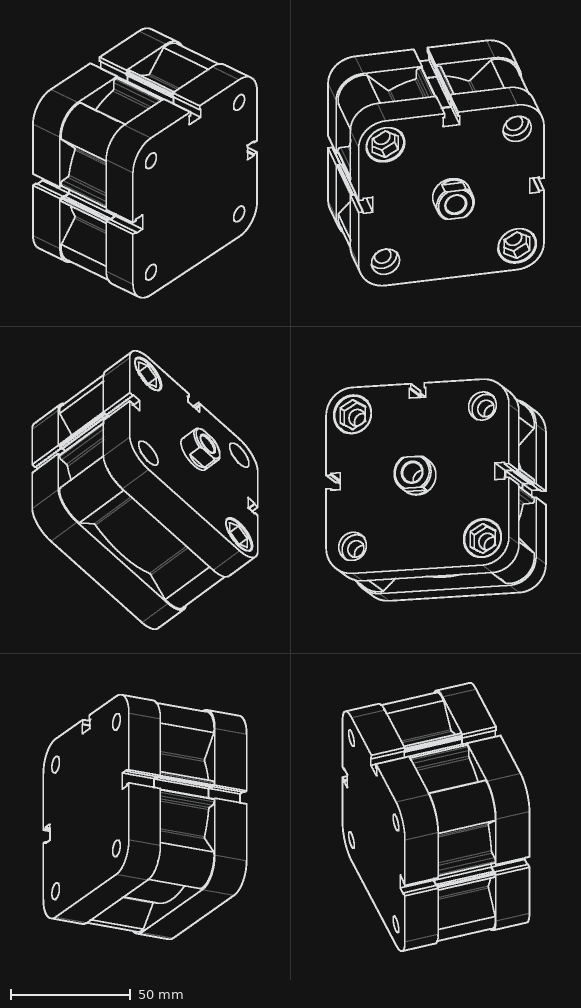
import cadquery as cq
import math


CAP_SIZE = 79.5
CAP_CORNER_RADIUS = 11.5
FRONT_CAP_LENGTH = 14.9
REAR_CAP_LENGTH = 14.7
BARREL_LENGTH = 25.45
BARREL_START = FRONT_CAP_LENGTH
REAR_CAP_START = BARREL_START + BARREL_LENGTH

HOLE_OFFSET = CAP_SIZE / 2 - CAP_CORNER_RADIUS
HOLE_DIAMETER = 7.0
COUNTERBORE_DIAMETER = 12.0
COUNTERBORE_DEPTH = 5.0
CORNERS = [(y, z) for y in (-HOLE_OFFSET, HOLE_OFFSET) for z in (-HOLE_OFFSET, HOLE_OFFSET)]
COUNTERBORE_CORNERS = [(y, z) for y, z in CORNERS if y * z < 0]
HEX_CORNERS = [(y, z) for y, z in CORNERS if y * z > 0]

HEX_ACROSS_FLATS = 11.0
HEX_DEPTH = 6.7
HEAD_RECESS = 0.5
GROOVE_OUTER_DIAMETER = 16.45
GROOVE_WIDTH = 0.3
GROOVE_DEPTH = 5.0

SLOT_ANGLES = (-90, 0, 90)
CAP_SLOT_MOUTH_WIDTH = 5.8
CAP_SLOT_WIDTH = 7.15
CAP_SLOT_FLOOR = 33.6
CAP_SLOT_LIP = 37.8
BARREL_SLOT_MOUTH_WIDTH = 5.6
BARREL_SLOT_WIDTH = 6.5
BARREL_SLOT_FLOOR = 34.0
BARREL_SLOT_LIP = 37.4

BARREL_RADIUS = 34.5
LOBE_RADIUS = 10.7
LOBE_EDGE = 26.6
FLANK_FOOT = (16.7, 29.3)
FOOT_FILLET = 0.8
RIB_WIDTH = 10.65
RIB_TOP = 38.95
RIB_EDGE_RADIUS = 1.1
MOUTH_CHAMFER = 0.4
TOLERANCE = 0.01

ROD_DIAMETER = 16.05
ROD_PROJECTION = 7.95
ROD_CHAMFER = 0.6
FLAT_SPACING = 13.3
FLAT_LENGTH = 6.1
FLAT_RUNOUT = 0.6
ROD_BORE_DIAMETER = 8.5
ROD_BORE_MOUTH_DIAMETER = 9.3
ROD_BORE_DEPTH = 15.9
DRILL_POINT_ANGLE = 118.0


def yz_plane(x):
    """Sketch plane at the given X, with local axes along Y and Z."""
    return cq.Workplane("YZ", origin=(x, 0, 0))


def mounting_holes(start, length):
    """Cutters for the four corner holes over the given stretch of X."""
    return yz_plane(start).pushPoints(CORNERS).circle(HOLE_DIAMETER / 2).extrude(length)


def t_slots(start, length, mouth_width, width, floor, lip):
    """T-shaped cutters, one per slotted side, open at the outer face."""
    outer = CAP_SIZE / 2
    mouth = yz_plane(start).center(0, (floor + outer) / 2).rect(mouth_width, outer - floor).extrude(length)
    pocket = yz_plane(start).center(0, (floor + lip) / 2).rect(width, lip - floor).extrude(length)
    slot = mouth.union(pocket)
    slots = cq.Workplane()
    for angle in SLOT_ANGLES:
        slots = slots.add(slot.rotate((0, 0, 0), (1, 0, 0), angle))
    return slots.combine()


def make_cap(start, length):
    """Rounded square plate with T-slots and four through holes."""
    cap = yz_plane(start).rect(CAP_SIZE, CAP_SIZE).extrude(length).edges("|X").fillet(CAP_CORNER_RADIUS)
    cap = cap.cut(t_slots(start, length, CAP_SLOT_MOUTH_WIDTH, CAP_SLOT_WIDTH, CAP_SLOT_FLOOR, CAP_SLOT_LIP))
    return cap.cut(mounting_holes(start, length))


def make_front_cap():
    """Cap with counterbores on one diagonal, hexagon sockets on the other and the rod's hole."""
    cap = make_cap(0, FRONT_CAP_LENGTH)
    counterbore_radius = COUNTERBORE_DIAMETER / 2
    counterbores = yz_plane(0).pushPoints(COUNTERBORE_CORNERS).circle(counterbore_radius)
    counterbores = counterbores.extrude(COUNTERBORE_DEPTH)

    hexagon = cq.Sketch().regularPolygon(HEX_ACROSS_FLATS / math.sqrt(3), 6)
    sockets = yz_plane(0).pushPoints(HEX_CORNERS).placeSketch(hexagon).extrude(HEX_DEPTH)
    groove_radius = GROOVE_OUTER_DIAMETER / 2
    recesses = yz_plane(0).pushPoints(HEX_CORNERS).circle(groove_radius).extrude(HEAD_RECESS)
    head_radius = groove_radius - GROOVE_WIDTH
    rings = yz_plane(0).pushPoints(HEX_CORNERS).circle(groove_radius).circle(head_radius)
    grooves = rings.extrude(GROOVE_DEPTH)

    rod_hole = yz_plane(0).circle(ROD_DIAMETER / 2).extrude(FRONT_CAP_LENGTH)
    for cutter in (counterbores, sockets, grooves, recesses, rod_hole):
        cap = cap.cut(cutter)
    return cap


def make_lobe():
    """Corner lobe in the +Y +Z corner: an arc around the hole and two flat flanks."""
    edge_height = HOLE_OFFSET + math.sqrt(LOBE_RADIUS**2 - (HOLE_OFFSET - LOBE_EDGE) ** 2)
    tip = HOLE_OFFSET + LOBE_RADIUS * math.cos(math.radians(45))
    foot_near, foot_far = FLANK_FOOT
    return (
        yz_plane(BARREL_START)
        .lineTo(foot_near, foot_far)
        .lineTo(LOBE_EDGE, edge_height)
        .threePointArc((tip, tip), (edge_height, LOBE_EDGE))
        .lineTo(foot_far, foot_near)
        .close()
        .extrude(BARREL_LENGTH)
    )


def lies_on_core(edge):
    """True for edges on the surface of the round core."""
    middle = edge.Center()
    return abs(math.hypot(middle.y, middle.z) - BARREL_RADIUS) < TOLERANCE


def is_slot_mouth(edge):
    """True for the outer edges of a slot's mouth."""
    middle = edge.Center()
    sideways, outward = sorted((abs(middle.y), abs(middle.z)))
    return abs(outward - RIB_TOP) < TOLERANCE and abs(sideways - BARREL_SLOT_MOUTH_WIDTH / 2) < TOLERANCE


def make_barrel():
    """Round core with four corner lobes and three slotted ribs."""
    barrel = yz_plane(BARREL_START).circle(BARREL_RADIUS).extrude(BARREL_LENGTH)
    lobe = make_lobe()
    for angle in (0, 90, 180, 270):
        barrel = barrel.union(lobe.rotate((0, 0, 0), (1, 0, 0), angle))

    rib = (
        yz_plane(BARREL_START).center(0, RIB_TOP / 2).rect(RIB_WIDTH, RIB_TOP).extrude(BARREL_LENGTH)
        .edges("|X and >Z").fillet(RIB_EDGE_RADIUS)
    )
    for angle in SLOT_ANGLES:
        barrel = barrel.union(rib.rotate((0, 0, 0), (1, 0, 0), angle))

    barrel = barrel.edges("|X").filter(lies_on_core).fillet(FOOT_FILLET)

    barrel = barrel.cut(
        t_slots(
            BARREL_START, BARREL_LENGTH,
            BARREL_SLOT_MOUTH_WIDTH, BARREL_SLOT_WIDTH, BARREL_SLOT_FLOOR, BARREL_SLOT_LIP,
        )
    )
    barrel = barrel.edges("|X").filter(is_slot_mouth).chamfer(MOUTH_CHAMFER)
    return barrel.cut(mounting_holes(BARREL_START, BARREL_LENGTH))


def make_rod():
    """Rod with a chamfered end, two spanner flats and a countersunk blind bore."""
    tip = -ROD_PROJECTION
    rod = yz_plane(tip).circle(ROD_DIAMETER / 2).extrude(ROD_PROJECTION + FRONT_CAP_LENGTH)
    rod = rod.faces("<X").chamfer(ROD_CHAMFER)

    flat_height = FLAT_SPACING / 2
    rod_radius = ROD_DIAMETER / 2
    flat_cutter = (
        cq.Workplane("XZ")
        .moveTo(tip, flat_height)
        .lineTo(tip + FLAT_LENGTH, flat_height)
        .lineTo(tip + FLAT_LENGTH + FLAT_RUNOUT, rod_radius)
        .lineTo(tip, rod_radius)
        .close()
        .extrude(rod_radius, both=True)
    )
    rod = rod.cut(flat_cutter).cut(flat_cutter.mirror("XY"))

    bore_radius = ROD_BORE_DIAMETER / 2
    mouth_radius = ROD_BORE_MOUTH_DIAMETER / 2
    point_length = bore_radius / math.tan(math.radians(DRILL_POINT_ANGLE / 2))
    bore = (
        cq.Workplane("XZ")
        .moveTo(tip, 0)
        .lineTo(tip, mouth_radius)
        .lineTo(tip + mouth_radius - bore_radius, bore_radius)
        .lineTo(tip + ROD_BORE_DEPTH, bore_radius)
        .lineTo(tip + ROD_BORE_DEPTH + point_length, 0)
        .close()
        .revolve(360, (0, 0, 0), (1, 0, 0))
    )
    return rod.cut(bore)


front_cap = make_front_cap()
barrel = make_barrel()
rear_cap = make_cap(REAR_CAP_START, REAR_CAP_LENGTH)
piston_rod = make_rod()

bodies = [front_cap, barrel, rear_cap, piston_rod]
result = cq.Compound.makeCompound([body.solids().val() for body in bodies])